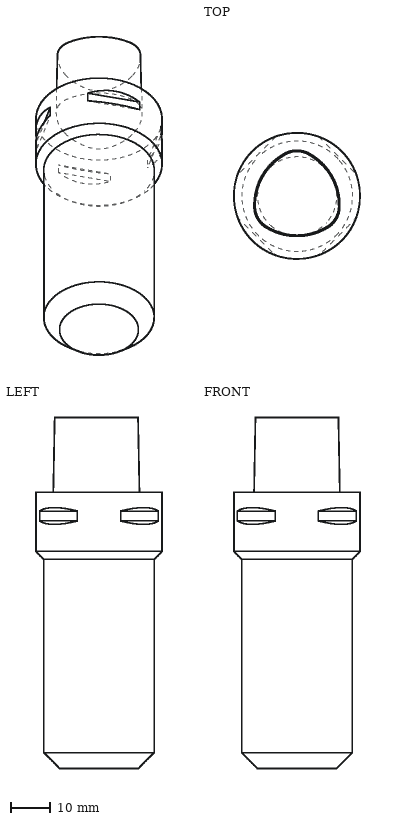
import cadquery as cq
import math

total_height = 89.0
shank_height = 19.0
collar_band_height = 15.0

blank_radius = 28.0 / 2
blank_chamfer = 4.0

collar_radius = 32.0 / 2
collar_chamfer = collar_radius - blank_radius
collar_top = total_height - shank_height
collar_band_bottom = collar_top - collar_band_height
collar_bottom = collar_band_bottom - collar_chamfer

slot_count = 4
slot_first_angle = 45.0
slot_floor_distance = 14.5
slot_floor_height = 2.5
slot_mouth_height = 4.3
slot_drop = 6.05
slot_width = 2 * collar_radius

lobe_count = 3
lobe_eccentricity = 0.67
shank_base_radius = 10.95
shank_tip_radius = 10.6
lobe_first_angle = 90.0
lobe_half_angle = 24.0


def lobed_point(mean_radius, angle):
    """Point of the constant-width trilobe whose normal lies at angle (degrees) from a lobe."""
    turn = math.radians(angle)
    support = mean_radius + lobe_eccentricity * math.cos(lobe_count * turn)
    slope = -lobe_count * lobe_eccentricity * math.sin(lobe_count * turn)
    heading = turn + math.radians(lobe_first_angle)
    x = support * math.cos(heading) - slope * math.sin(heading)
    y = support * math.sin(heading) + slope * math.cos(heading)
    return x, y


def add_lobed_outline(plane, mean_radius):
    """Closed outline of alternating tight lobe arcs and broad side arcs."""
    pitch = 360.0 / lobe_count
    outline = plane.moveTo(*lobed_point(mean_radius, -lobe_half_angle))
    for index in range(lobe_count):
        lobe = index * pitch
        lobe_end = lobed_point(mean_radius, lobe + lobe_half_angle)
        side_end = lobed_point(mean_radius, lobe + pitch - lobe_half_angle)
        outline = outline.threePointArc(lobed_point(mean_radius, lobe), lobe_end)
        outline = outline.threePointArc(lobed_point(mean_radius, lobe + pitch / 2), side_end)
    return outline.close()


def make_shank():
    base = add_lobed_outline(cq.Workplane("XY").workplane(offset=collar_top), shank_base_radius)
    tip = add_lobed_outline(base.workplane(offset=shank_height), shank_tip_radius)
    return tip.loft(ruled=True, combine=True)


def make_collar():
    return (
        cq.Workplane("XY")
        .workplane(offset=collar_bottom)
        .circle(collar_radius)
        .extrude(collar_top - collar_bottom)
        .faces("<Z")
        .chamfer(collar_chamfer)
    )


def make_slot_cutter(angle):
    """Flared slot pointing along +X, turned about Z by angle."""
    slot_z = collar_top - slot_drop
    half_floor = slot_floor_height / 2
    half_mouth = slot_mouth_height / 2
    section = [
        (slot_floor_distance, slot_z - half_floor),
        (collar_radius, slot_z - half_mouth),
        (collar_radius, slot_z + half_mouth),
        (slot_floor_distance, slot_z + half_floor),
    ]
    cutter = cq.Workplane("XZ").polyline(section).close().extrude(slot_width / 2, both=True)
    return cutter.rotate((0, 0, 0), (0, 0, 1), angle)


def make_adapter():
    """Collar and polygon shank in one piece, with the gripper slots cut in."""
    adapter = make_collar().union(make_shank())
    for index in range(slot_count):
        angle = slot_first_angle + index * 360.0 / slot_count
        adapter = adapter.cut(make_slot_cutter(angle))
    return adapter


def make_blank():
    """Round bar that meets the underside of the collar."""
    return (
        cq.Workplane("XY")
        .circle(blank_radius)
        .extrude(collar_bottom)
        .faces("<Z")
        .chamfer(blank_chamfer)
    )


adapter = make_adapter()
blank = make_blank()

result = cq.Compound.makeCompound([adapter.solids().val(), blank.val()])